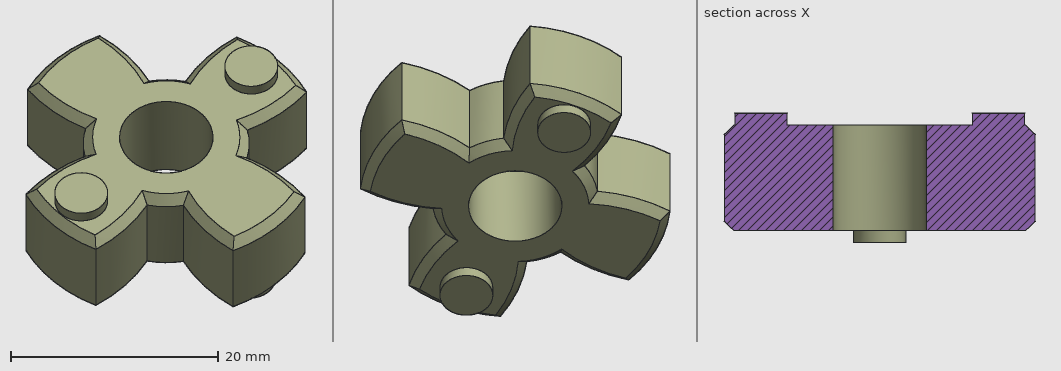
import cadquery as cq
import math

overall_height = 12.5
outer_radius = 15.0
body_height = 10.2
edge_chamfer = 0.9
bore_radius = 4.5

arm_count = 4
hub_radius = 8.0
flank_radius = 16.0
widest_half_width = 5.05
widest_distance = 11.65
arm_root_radius = 5.5

pin_radius = 2.55
pin_height = (overall_height - body_height) / 2
pin_distance = 11.45


def flank_crossing(circle_radius):
    """Point of the +X arm's upper flank at the given distance from the part axis."""
    center_x = widest_distance
    center_y = widest_half_width - flank_radius
    center_distance = math.hypot(center_x, center_y)
    along = (circle_radius**2 - flank_radius**2 + center_distance**2) / (2 * center_distance)
    across = math.sqrt(circle_radius**2 - along**2)
    unit_x = center_x / center_distance
    unit_y = center_y / center_distance
    return along * unit_x - across * unit_y, along * unit_y + across * unit_x


def make_prism(outline):
    """Body-height prism of an outline, with its top and bottom rims chamfered."""
    prism = outline.extrude(body_height / 2, both=True).clean()
    return prism.faces("|Z").edges().chamfer(edge_chamfer)


def make_arm():
    """The +X arm, rooted inside the hub."""
    root_x, root_y = flank_crossing(arm_root_radius)
    tip_x, tip_y = flank_crossing(outer_radius)
    outline = (
        cq.Workplane("XY")
        .moveTo(root_x, -root_y)
        .threePointArc((widest_distance, -widest_half_width), (tip_x, -tip_y))
        .threePointArc((outer_radius, 0), (tip_x, tip_y))
        .threePointArc((widest_distance, widest_half_width), (root_x, root_y))
        .close()
    )
    return make_prism(outline)


def make_body():
    """Star-shaped body with chamfered rims and a plain bore."""
    body = make_prism(cq.Workplane("XY").circle(hub_radius))
    arm = make_arm()
    for index in range(arm_count):
        angle = index * 360 / arm_count
        body = body.union(arm.rotate((0, 0, 0), (0, 0, 1), angle))
    return body.faces(">Z").workplane(origin=(0, 0, 0)).circle(bore_radius).cutThruAll()


def make_pins(centers, direction):
    """Pins on the top face (direction 1) or the bottom face (direction -1)."""
    return (
        cq.Workplane("XY")
        .workplane(offset=direction * body_height / 2)
        .pushPoints(centers)
        .circle(pin_radius)
        .extrude(direction * pin_height)
    )


top_pins = make_pins([(0, pin_distance), (0, -pin_distance)], 1)
bottom_pins = make_pins([(pin_distance, 0), (-pin_distance, 0)], -1)

result = make_body().union(top_pins).union(bottom_pins)